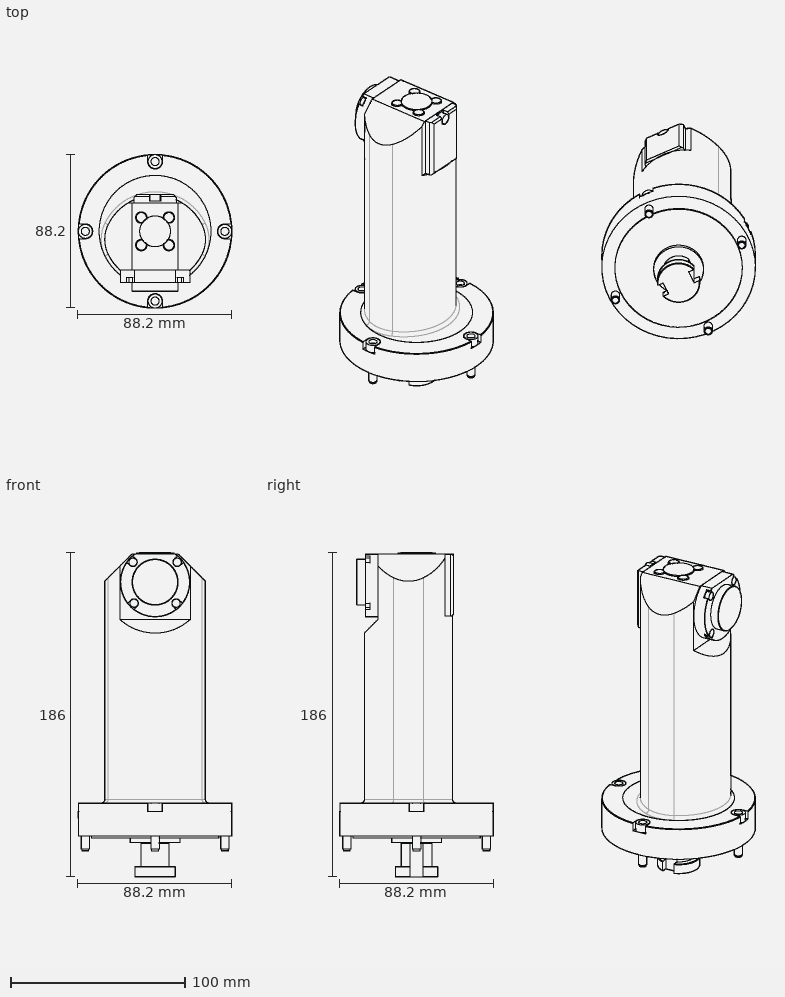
import cadquery as cq
import math

knob_height = 6.1
stem_top = 19.4
hub_bottom = 19.7
spigot_bottom = 22.3
flange_bottom = 23.5
flange_top = 42.5
column_top = 185.3
cover_top_drop = 0.1
total_height = 186.0
cover_top = column_top - cover_top_drop

knob_diameter = 24.4
knob_chamfer = 0.4
stem_diameter = 17.9
neck_diameter = 15.0
hub_diameter = 28.7
keyway_width = 7.5

flange_diameter = 88.2
flange_chamfer = 0.4
spigot_diameter = 73.1
insert_diameter = 64.2
insert_rise = 0.1
flange_screw_radius = 40.0
flange_screw_head = 8.0
flange_screw_slot = 8.5
flange_screw_seat = 4.8
flange_screw_socket = 4.7
flange_screw_socket_depth = 2.5
flange_screw_shank = 4.8
flange_screw_tip = 4.0
flange_screw_tip_length = 1.0
flange_screw_end = 15.0

column_radius = 30.0
column_offset = 9.3
column_tip_radius = 19.4
column_foot_radius = 2.0
level_tolerance = 0.02
crown_half_width = 13.2

front_flat_y = -22.1
front_flat_bottom = 147.7
output_height = 169.1
cover_diameter = 39.8
cover_thickness = 7.3
cover_chamfer = 0.2
output_boss_diameter = 26.5
output_boss_length = 5.0
output_boss_chamfer = 0.28
cover_screw_radius = 17.1
cover_screw_angles = (42, 138, 225, 315)
cover_screw_head = 4.7
cover_screw_slot = 5.0
cover_screw_seat = 2.8

rear_flat_y = 16.4
rear_flat_bottom = 149.6
rear_plate_width = 24.4
rear_plate_thickness = 4.8
rear_plate_side_chamfer = 1.9
rear_plate_edge_chamfer = 1.1
rear_screw_head = 5.8
rear_screw_slot = 6.5
rear_screw_seat = 4.0

cap_diameter = 17.7
crown_screw_head = 5.8
crown_screw_hole = 6.5
crown_screw_seat = 1.9
crown_screw_rise = 0.5
crown_screw_pitch = 15.8


def disc(diameter, bottom, top):
    return cq.Workplane("XY").workplane(offset=bottom).circle(diameter / 2).extrude(top - bottom)


def disc_along_y(diameter, x, z, y_front, y_rear):
    """Cylinder with its axis along Y."""
    plane = cq.Workplane("XZ", origin=(x, y_rear, z))
    return plane.circle(diameter / 2).extrude(y_rear - y_front)


def block(x_size, y_front, y_rear, bottom, top):
    """Box centred on X = 0."""
    box = cq.Workplane("XY").box(x_size, y_rear - y_front, top - bottom, centered=(True, False, False))
    return box.translate((0, y_front, bottom))


def drive_shaft():
    knob = disc(knob_diameter, 0, knob_height).edges("%CIRCLE").chamfer(knob_chamfer)
    stem = disc(stem_diameter, knob_height, stem_top)
    keyway_floor = math.sqrt(stem_diameter**2 - keyway_width**2) / 2
    keyway = cq.Workplane("XY").box(knob_diameter, keyway_width, stem_top, centered=(False, True, False))
    keyed = knob.union(stem)
    keyed = keyed.cut(keyway.translate((keyway_floor, 0, 0)))
    keyed = keyed.cut(keyway.translate((-keyway_floor - knob_diameter, 0, 0)))
    neck = disc(neck_diameter, stem_top, hub_bottom)
    hub = disc(hub_diameter, hub_bottom, spigot_bottom)
    return keyed.union(neck).union(hub)


def flange_screw():
    """Cap screw on the +X side of the flange."""
    seat = flange_top - flange_screw_seat
    tip_start = flange_screw_end + flange_screw_tip_length
    socket = disc(flange_screw_socket, flange_top - flange_screw_socket_depth, flange_top)
    head = disc(flange_screw_head, seat, flange_top).cut(socket)
    shank = disc(flange_screw_shank, tip_start, seat)
    tip = disc(flange_screw_tip, flange_screw_end, tip_start)
    return head.union(shank).union(tip).translate((flange_screw_radius, 0, 0))


def flange_slot():
    """Round-ended seat for the +X screw, open to the flange rim."""
    seat = flange_top - flange_screw_seat
    length = flange_diameter / 2
    round_end = disc(flange_screw_slot, seat, flange_top)
    mouth = block(length, -flange_screw_slot / 2, flange_screw_slot / 2, seat, flange_top)
    return round_end.union(mouth.translate((length / 2, 0, 0))).translate((flange_screw_radius, 0, 0))


def flange():
    body = disc(flange_diameter, flange_bottom, flange_top).faces(">Z").edges().chamfer(flange_chamfer)
    body = body.union(disc(spigot_diameter, spigot_bottom, flange_bottom))
    for quarter in range(4):
        angle = 90 * quarter
        body = body.cut(flange_slot().rotate((0, 0, 0), (0, 0, 1), angle))
        body = body.union(flange_screw().rotate((0, 0, 0), (0, 0, 1), angle))
    return body


def column_blank():
    """Full-height column on its round insert, with a filleted foot."""
    middle_y = -column_offset / 2
    tip_centre_x = math.sqrt((column_radius - column_tip_radius)**2 - (column_offset / 2)**2)
    reach = column_radius / (column_radius - column_tip_radius)
    touch_x = tip_centre_x * reach
    rear_touch_y = middle_y + column_offset / 2 * (reach - 1)
    front_touch_y = middle_y - column_offset / 2 * (reach - 1)
    tip_x = tip_centre_x + column_tip_radius
    foot = flange_top + insert_rise
    shaft = (
        cq.Workplane("XY", origin=(0, 0, foot))
        .moveTo(touch_x, rear_touch_y)
        .threePointArc((0, column_radius - column_offset), (-touch_x, rear_touch_y))
        .threePointArc((-tip_x, middle_y), (-touch_x, front_touch_y))
        .threePointArc((0, -column_radius), (touch_x, front_touch_y))
        .threePointArc((tip_x, middle_y), (touch_x, rear_touch_y))
        .close()
        .extrude(column_top - foot)
    )
    insert = disc(insert_diameter, spigot_bottom, foot)
    level_low = (-tip_x, -column_radius, foot - level_tolerance)
    level_high = (tip_x, column_radius, foot + level_tolerance)
    level_edges = insert.union(shaft).edges(cq.selectors.BoxSelector(level_low, level_high))
    foot_edges = level_edges.filter(lambda edge: edge.radius() < insert_diameter / 2)
    return foot_edges.fillet(column_foot_radius)


def crown_envelope():
    """Space kept by the two 45 degree slopes that narrow the column to its crown."""
    side = insert_diameter
    slope = side - crown_half_width
    return (
        cq.Workplane("XZ", origin=(0, side, 0))
        .moveTo(-crown_half_width, column_top)
        .lineTo(crown_half_width, column_top)
        .lineTo(side, column_top - slope)
        .lineTo(side, 0)
        .lineTo(-side, 0)
        .lineTo(-side, column_top - slope)
        .close()
        .extrude(2 * side)
    )


def front_relief():
    """Space in front of the output flat, with a 45 degree floor running down and out."""
    depth = column_radius
    return (
        cq.Workplane("YZ", origin=(-column_radius, 0, 0))
        .moveTo(front_flat_y, total_height)
        .lineTo(front_flat_y, front_flat_bottom)
        .lineTo(front_flat_y - depth, front_flat_bottom - depth)
        .lineTo(front_flat_y - depth, total_height)
        .close()
        .extrude(2 * column_radius)
    )


def column():
    rear_relief = block(2 * column_radius, rear_flat_y, column_radius, rear_flat_bottom, total_height)
    return column_blank().intersect(crown_envelope()).cut(front_relief()).cut(rear_relief)


def output_cover():
    """Round cover, cut off near the column top, with four screws in rim slots and the output boss."""
    face_y = front_flat_y - cover_thickness
    seat_y = face_y + cover_screw_seat
    cover = disc_along_y(cover_diameter, 0, output_height, face_y, front_flat_y)
    cover = cover.faces("<Y").edges().chamfer(cover_chamfer)
    head = disc_along_y(cover_screw_head, cover_screw_radius, output_height, face_y, seat_y)
    round_end = disc_along_y(cover_screw_slot, cover_screw_radius, output_height, face_y, seat_y)
    slot_bottom = output_height - cover_screw_slot / 2
    mouth = block(cover_diameter, face_y, seat_y, slot_bottom, slot_bottom + cover_screw_slot)
    slot = round_end.union(mouth.translate((cover_screw_radius + cover_diameter / 2, 0, 0)))
    axis_start = (0, 0, output_height)
    axis_end = (0, -1, output_height)
    for angle in cover_screw_angles:
        cover = cover.cut(slot.rotate(axis_start, axis_end, angle))
        cover = cover.union(head.rotate(axis_start, axis_end, angle))
    cover = cover.intersect(block(cover_diameter, face_y, front_flat_y, 0, cover_top))
    boss = disc_along_y(output_boss_diameter, 0, output_height, face_y - output_boss_length, face_y)
    return cover.union(boss.faces("<Y").edges().chamfer(output_boss_chamfer))


def rear_plate():
    """Chamfered cover plate with one screw recessed in its top edge."""
    face_y = rear_flat_y + rear_plate_thickness
    seat_y = face_y - rear_screw_seat
    screw_z = cover_top - rear_screw_head / 2
    plate = block(rear_plate_width, rear_flat_y, face_y, rear_flat_bottom, cover_top)
    plate = plate.edges("|Z and >Y").chamfer(rear_plate_side_chamfer)
    plate = plate.faces(">Y").edges("|X").chamfer(rear_plate_edge_chamfer)
    slot = disc_along_y(rear_screw_slot, 0, screw_z, seat_y, face_y)
    slot = slot.union(block(rear_screw_slot, seat_y, face_y, screw_z, total_height))
    return plate.cut(slot).union(disc_along_y(rear_screw_head, 0, screw_z, seat_y, face_y))


def crown_pegs(diameter, top):
    """Four equal pegs around the crown cap, rising from the seats of its screws."""
    seat = column_top - crown_screw_seat
    return (
        cq.Workplane("XY", origin=(0, 0, seat))
        .rect(crown_screw_pitch, crown_screw_pitch, forConstruction=True)
        .vertices()
        .circle(diameter / 2)
        .extrude(top - seat)
    )


result = (
    drive_shaft()
    .union(flange())
    .union(column())
    .union(output_cover())
    .union(rear_plate())
    .cut(crown_pegs(crown_screw_hole, column_top))
    .union(crown_pegs(crown_screw_head, column_top + crown_screw_rise))
    .union(disc(cap_diameter, column_top, total_height))
)